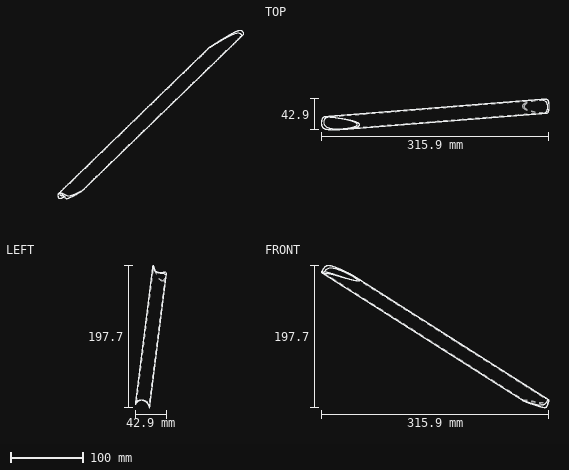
import cadquery as cq

TUBE_DIAMETER = 20.2
WALL = 1.3
UPPER_NODE = cq.Vector(-154.5, -12.5, 100.0)
LOWER_NODE = cq.Vector(156.7, 12.3, -98.0)

UPPER_MEMBER_DIAMETER = 21.8
LOWER_MEMBER_DIAMETER = 20.5
UPPER_MEMBER_DIRECTION = cq.Vector(1, -0.13, -0.24)
LOWER_MEMBER_DIRECTION = cq.Vector(1, -0.06, 0.0)
MEMBER_LENGTH = 316


def round_bar(start, direction, length, diameter):
    """Solid bar with its axis running from start along direction."""
    return cq.Workplane(cq.Solid.makeCylinder(diameter / 2, length, start, direction))


def crossing_member(node, direction, diameter):
    """Solid bar centred on the point where it crosses the tube axis."""
    start = node - direction.normalized() * (MEMBER_LENGTH / 2)
    return round_bar(start, direction, MEMBER_LENGTH, diameter)


tube_axis = LOWER_NODE - UPPER_NODE
overrun = tube_axis.normalized() * TUBE_DIAMETER
tube_start = UPPER_NODE - overrun
tube_length = (tube_axis + overrun * 2).Length
bore_diameter = TUBE_DIAMETER - 2 * WALL
tube = round_bar(tube_start, tube_axis, tube_length, TUBE_DIAMETER)
tube = tube.cut(round_bar(tube_start, tube_axis, tube_length, bore_diameter))

tube = tube.cut(crossing_member(UPPER_NODE, UPPER_MEMBER_DIRECTION, UPPER_MEMBER_DIAMETER))
tube = tube.cut(crossing_member(LOWER_NODE, LOWER_MEMBER_DIRECTION, LOWER_MEMBER_DIAMETER))

result = cq.Workplane(max(tube.solids().vals(), key=lambda piece: piece.Volume()))